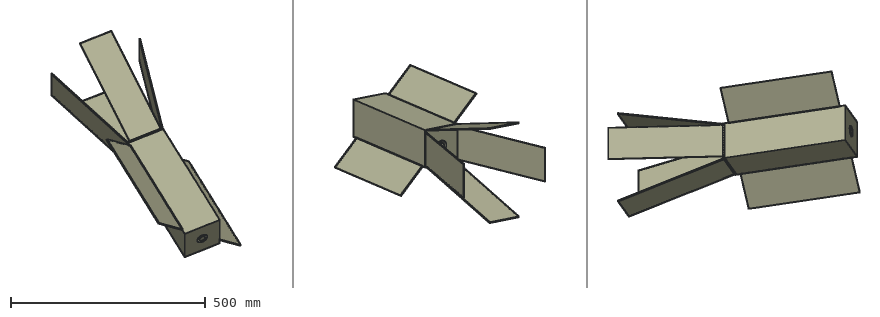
import cadquery as cq
import math

total_length = 615.5
housing_length = 330.0
housing_width = 100.0
bore_radius = 14.0

panel_length = 299.5
panel_thickness = 3.0
flap_width = 90.0
flap_angle = 15.0
wing_width = 95.0

rod_radius = 8.0
dome_height = 2.5
rim_setback = 0.5

housing_front = total_length - housing_length
half_width = housing_width / 2
corner_distance = half_width * math.sqrt(2)
wing_front = housing_front + (housing_length - panel_length) / 2
flap_tilt = math.radians(flap_angle)


def make_housing_block():
    """Solid square block, used for the housing and to trim the panels against it."""
    return (
        cq.Workplane("YZ", origin=(housing_front, 0, 0))
        .rect(housing_width, housing_width)
        .extrude(housing_length)
    )


def make_housing():
    """Block with a round bore running through its full length."""
    bore = (
        cq.Workplane("YZ", origin=(housing_front, 0, 0))
        .circle(bore_radius)
        .extrude(housing_length)
    )
    return make_housing_block().cut(bore).solids()


def make_flap(turn):
    """Panel splayed outward from the housing front, turned about X to one of the four sides.

    Its outer rear edge lies on the housing side face, and it is trimmed where it meets the housing.
    """
    hinge_x = panel_length * math.cos(flap_tilt)
    hinge_z = half_width - panel_thickness * math.cos(flap_tilt)
    flap = (
        cq.Workplane("XY")
        .box(panel_length, flap_width, panel_thickness, centered=(False, True, False))
        .translate((-panel_length, 0, 0))
        .rotate((0, 0, 0), (0, 1, 0), flap_angle)
        .translate((hinge_x, 0, hinge_z))
        .rotate((0, 0, 0), (1, 0, 0), turn)
    )
    return flap.cut(make_housing_block()).solids()


def make_wing(turn):
    """Panel standing out diagonally from a long housing edge, notched to sit over that edge."""
    seat_depth = panel_thickness / 2
    wing = (
        cq.Workplane("XY", origin=(wing_front, corner_distance - seat_depth, 0))
        .box(panel_length, wing_width + seat_depth, panel_thickness, centered=(False, False, True))
        .rotate((0, 0, 0), (1, 0, 0), turn)
    )
    return wing.cut(make_housing_block()).solids()


def make_rod():
    """Rod along the bore axis, from its domed front end to the rear of the housing."""
    rim_x = housing_front + rim_setback
    dome_radius = (rod_radius**2 + dome_height**2) / (2 * dome_height)
    arc_rise = dome_radius - math.sqrt(dome_radius**2 - (rod_radius / 2) ** 2)
    profile = (
        cq.Workplane("XY")
        .moveTo(total_length, 0)
        .lineTo(total_length, rod_radius)
        .lineTo(rim_x, rod_radius)
        .threePointArc((rim_x - dome_height + arc_rise, rod_radius / 2), (rim_x - dome_height, 0))
        .close()
    )
    return profile.revolve(360, (0, 0, 0), (1, 0, 0))


housing = make_housing()
flaps = [make_flap(turn) for turn in (0, 90, 180, 270)]
wings = [make_wing(turn) for turn in (135, 315)]
rod = make_rod()

result = cq.Compound.makeCompound(
    [
        housing.val(),
        *[flap.val() for flap in flaps],
        *[wing.val() for wing in wings],
        rod.val(),
    ]
)